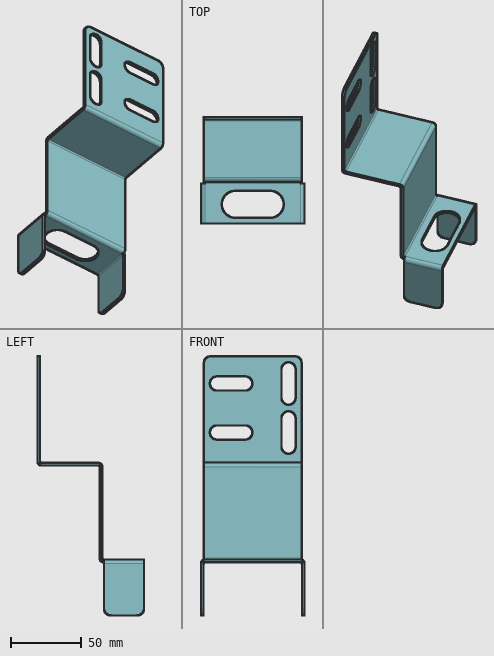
import cadquery as cq

thickness = 2.0
inner_bend = 1.0
outer_bend = inner_bend + thickness
mid_bend = inner_bend + thickness / 2
corner_radius = 5.0

overall_width = 74.0
overall_depth = 76.3
overall_height = 185.1
strip_width = overall_width - 2 * thickness

shelf_top = 109.0
shelf_depth = 46.5
saddle_top = 40.0
saddle_back = -(shelf_depth + inner_bend)
saddle_length = overall_depth + saddle_back

slot_length = 30.2
slot_width = 10.0
slot_margin = 4.5
slot_pitch = 35.0

opening_length = 44.0
opening_width = 19.0
opening_to_front = 13.9


def stepped_strip():
    """Upper plate, shelf, riser and the bend down to the saddle, swept along the middle of the sheet."""
    plate_y = -thickness / 2
    riser_y = -shelf_depth + thickness / 2
    shelf_z = shelf_top - thickness / 2
    saddle_z = saddle_top - thickness / 2
    path = (
        cq.Workplane("YZ")
        .moveTo(plate_y, overall_height)
        .lineTo(plate_y, shelf_z + mid_bend)
        .tangentArcPoint((plate_y - mid_bend, shelf_z), relative=False)
        .lineTo(riser_y + mid_bend, shelf_z)
        .tangentArcPoint((riser_y, shelf_z - mid_bend), relative=False)
        .lineTo(riser_y, saddle_z + mid_bend)
        .tangentArcPoint((saddle_back, saddle_z), relative=False)
    )
    strip = (
        cq.Workplane("XY", origin=(0, plate_y, overall_height))
        .rect(strip_width, thickness)
        .sweep(path)
    )
    return strip.edges("|Y and >Z").fillet(corner_radius)


def mounting_slots():
    """Two lying slots on the left and two standing slots on the right of the upper plate."""
    lying_x = -strip_width / 2 + slot_margin + slot_length / 2
    standing_x = strip_width / 2 - slot_margin - slot_width / 2
    upper_z = overall_height - slot_margin - slot_length / 2
    cutter = cq.Workplane("XZ")
    for z in (upper_z, upper_z - slot_pitch):
        for x, angle in ((lying_x, 0), (standing_x, 90)):
            cutter = cutter.union(
                cq.Workplane("XZ", origin=(x, 0, z)).slot2D(slot_length, slot_width, angle).extrude(thickness)
            )
    return cutter


def channel_block(width, height, bend_radius):
    """Block along the saddle, standing on Z = 0, with its two upper long edges rounded."""
    return (
        cq.Workplane("XY")
        .box(width, saddle_length, height, centered=(True, False, False))
        .translate((0, -overall_depth, 0))
        .edges("|Y and >Z")
        .fillet(bend_radius)
    )


def saddle():
    """Inverted U with rounded bends, rounded lower corners and an oblong opening in its top."""
    outside = channel_block(overall_width, saddle_top, outer_bend)
    inside = channel_block(strip_width, saddle_top - thickness, inner_bend)
    opening = (
        cq.Workplane("XY", origin=(0, -overall_depth + opening_to_front, 0))
        .slot2D(opening_length, opening_width)
        .extrude(saddle_top)
    )
    legs_rounded = outside.edges("|X and <Z").fillet(corner_radius)
    return legs_rounded.cut(inside).cut(opening)


result = stepped_strip().cut(mounting_slots()).union(saddle())